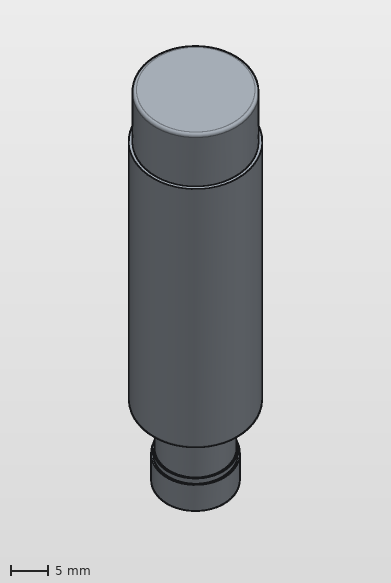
import cadquery as cq

total_height = 75.0
body_diameter = 18.0
cap_diameter = 17.0
neck_diameter = 11.0
step_diameter = 11.5
collar_diameter = 12.0

cap_height = 10.0
body_bottom = 15.0
collar_height = 5.0
step_height = 1.0
edge_radius = 0.5


def cylinder(diameter, bottom, top):
    """Return a cylinder on the Z axis between two heights."""
    return cq.Workplane("XY").workplane(offset=bottom).circle(diameter / 2).extrude(top - bottom)


body_top = total_height - cap_height

body = cylinder(body_diameter, body_bottom, body_top).faces("<Z").edges().fillet(edge_radius)

cap = cylinder(cap_diameter, body_top, total_height).faces(">Z").edges().fillet(edge_radius)

neck = cylinder(neck_diameter, collar_height, body_bottom)

collar = cylinder(collar_diameter, 0, collar_height)
step = cylinder(step_diameter, collar_height, collar_height + step_height)

result = body.union(cap).union(neck).union(collar).union(step)